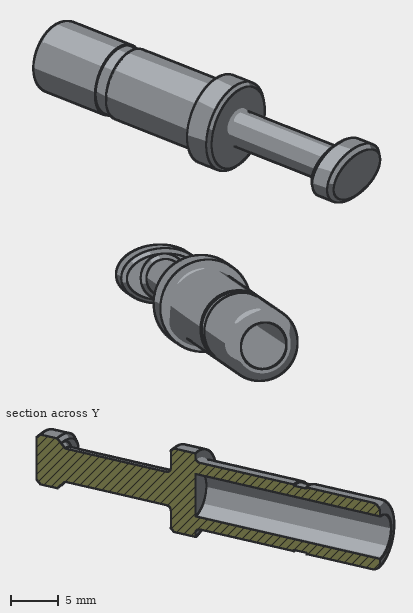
import cadquery as cq
import math

total_length = 41.0
groove_start = 8.8
groove_width = 1.48
flange_start = 22.0
flange_thickness = 3.0
flange_end = flange_start + flange_thickness

body_diameter = 8.0
groove_diameter = 7.7
flange_diameter = 10.0
rod_diameter = 4.0
bore_diameter = 5.0
mouth_chamfer = 0.05
bore_depth = flange_start

nose_radius = 1.0
root_radius = 0.5
flange_chamfer = 0.4

head_width = 9.0
head_height = 6.0
head_thickness = 3.0
head_chamfer = 0.5
neck_length = head_chamfer
neck_diameter = rod_diameter + 2 * neck_length
head_start = total_length - head_thickness


def make_shank():
    """Stepped body, flange and rod revolved about the X axis."""
    body_r = body_diameter / 2
    groove_r = groove_diameter / 2
    flange_r = flange_diameter / 2
    rod_r = rod_diameter / 2
    neck_r = neck_diameter / 2
    groove_end = groove_start + groove_width
    arc_offset = 1 - math.sqrt(0.5)
    nose_mid = nose_radius * arc_offset
    root_mid = root_radius * arc_offset

    profile = (
        cq.Workplane("XY")
        .moveTo(0, 0)
        .lineTo(0, body_r - nose_radius)
        .threePointArc((nose_mid, body_r - nose_mid), (nose_radius, body_r))
        .lineTo(groove_start, body_r)
        .lineTo(groove_start, groove_r)
        .lineTo(groove_end, groove_r)
        .lineTo(groove_end, body_r)
        .lineTo(flange_start - root_radius, body_r)
        .threePointArc(
            (flange_start - root_mid, body_r + root_mid),
            (flange_start, body_r + root_radius),
        )
        .lineTo(flange_start, flange_r)
        .lineTo(flange_end - flange_chamfer, flange_r)
        .lineTo(flange_end, flange_r - flange_chamfer)
        .lineTo(flange_end, rod_r + root_radius)
        .threePointArc(
            (flange_end + root_mid, rod_r + root_mid),
            (flange_end + root_radius, rod_r),
        )
        .lineTo(head_start - neck_length, rod_r)
        .lineTo(head_start, neck_r)
        .lineTo(head_start, 0)
        .close()
    )
    return profile.revolve(360, (0, 0, 0), (1, 0, 0))


def make_head():
    """Elliptical plate chamfered on both faces."""
    plate = (
        cq.Workplane("YZ", origin=(head_start, 0, 0))
        .ellipse(head_width / 2, head_height / 2)
        .extrude(head_thickness)
    )
    return plate.faces("<X or >X").chamfer(head_chamfer)


def make_bore():
    """Blind hole entering from the rounded end, with a slightly chamfered mouth."""
    bore_r = bore_diameter / 2
    mouth_r = bore_r + mouth_chamfer
    profile = (
        cq.Workplane("XY")
        .moveTo(0, 0)
        .lineTo(0, mouth_r)
        .lineTo(mouth_chamfer, bore_r)
        .lineTo(bore_depth, bore_r)
        .lineTo(bore_depth, 0)
        .close()
    )
    return profile.revolve(360, (0, 0, 0), (1, 0, 0))


result = make_shank().union(make_head()).cut(make_bore())